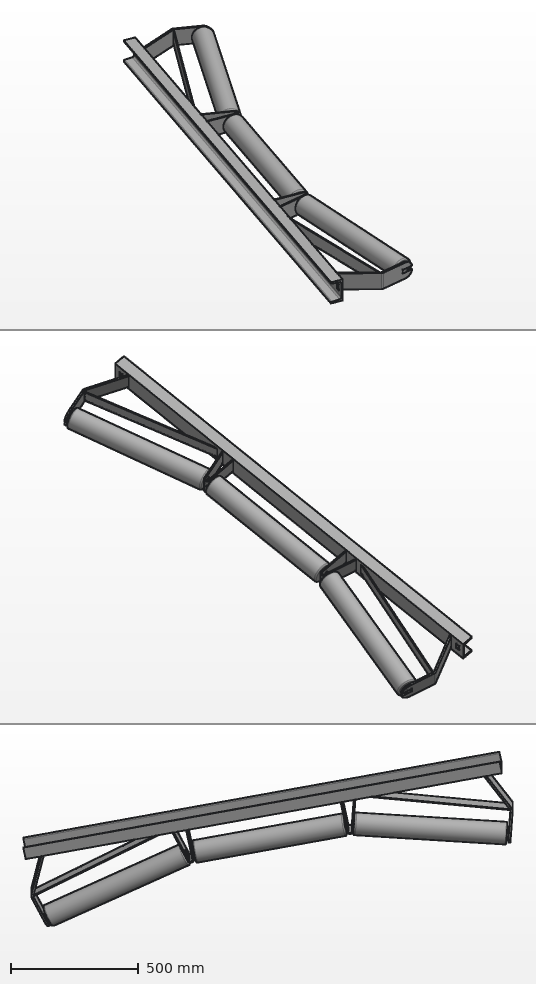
import cadquery as cq
import math


half_length = 960.0

beam_length = 1900.0
beam_height = 100.0
flange_width = 50.0
web_thickness = 5.0
toe_thickness = 8.0
toe_radius = 4.0
root_thickness = 10.5
root_radius = 8.0
web_hole_width = 17.0
web_hole_height = 29.0
web_hole_inset = 30.0

roller_length = 600.0
roller_diameter = 90.0
roller_edge_radius = 5.0
shaft_diameter = 25.0
shaft_flat_width = 17.0
center_axis_y = 117.0
wing_axis_x = 336.0
wing_axis_y = 121.0
wing_angle = 15

strip_width = 75.0
inner_thickness = 5.0
inner_bend_radius = 12.5
center_gap = 5.0
inner_wing_gap = 2.0
outer_thickness = 8.6
outer_wing_gap = 8.0
outer_bend_radius = 13.0
leg_angle = 24.5

brace_thickness = 4.8
brace_width = 58.0
brace_foot_x = 392.0

inner_face_x = roller_length / 2 + center_gap
outer_face = roller_length + outer_wing_gap + outer_thickness

wing_cos = math.cos(math.radians(wing_angle))
wing_sin = math.sin(math.radians(wing_angle))
wing_inner_end = cq.Vector(wing_axis_x, wing_axis_y)
wing_along = cq.Vector(wing_cos, wing_sin)
wing_across = cq.Vector(-wing_sin, wing_cos)

arm_normal = -wing_along
leg_normal = cq.Vector(-math.cos(math.radians(leg_angle)), math.sin(math.radians(leg_angle)))
bend_miter = (arm_normal + leg_normal) / (1 + arm_normal.dot(leg_normal))

bend_corner_x = half_length - outer_bend_radius * (1 + bend_miter.x)
arm_drop = (bend_corner_x - wing_axis_x - outer_face * wing_cos) / wing_sin
outer_corner = wing_inner_end + wing_along * outer_face - wing_across * arm_drop
inner_corner = outer_corner + bend_miter * outer_thickness


def place_on_wing(body):
    """Move a body from its own frame, with +X along the roller, to the +X wing."""
    return body.rotate((0, 0, 0), (0, 0, 1), wing_angle).translate(wing_inner_end)


def prism(points, width):
    """Extrude an XY outline to a width centered on Z = 0."""
    outline = [(point.x, point.y) for point in points]
    return cq.Workplane("XY").polyline(outline).close().extrude(width / 2, both=True)


def fillet_edge_at(body, point, radius):
    return body.edges(cq.NearestToPointSelector(point.toTuple())).fillet(radius)


def make_beam():
    half_height = beam_height / 2
    toe_z = half_height - toe_thickness
    root_z = half_height - root_thickness
    upper_flange = [
        (0, half_height),
        (-flange_width, half_height),
        (-flange_width, toe_z),
        (-web_thickness, root_z),
    ]
    lower_flange = [(y, -z) for y, z in reversed(upper_flange)]
    outline = cq.Workplane("YZ").polyline(upper_flange + lower_flange).close()
    beam = outline.extrude(beam_length / 2, both=True)
    for side in (1, -1):
        beam = fillet_edge_at(beam, cq.Vector(0, -flange_width, side * toe_z), toe_radius)
        beam = fillet_edge_at(beam, cq.Vector(0, -web_thickness, side * root_z), root_radius)
    hole_x = beam_length / 2 - web_hole_inset
    holes = (
        cq.Workplane("XZ")
        .pushPoints([(-hole_x, 0), (hole_x, 0)])
        .rect(web_hole_width, web_hole_height)
        .extrude(web_thickness)
    )
    return beam.cut(holes)


def make_roller(inner_shaft, outer_shaft):
    """Roller on the X axis from X = 0, with a flatted shaft end past each face."""
    drum = cq.Workplane("YZ").circle(roller_diameter / 2).extrude(roller_length)
    drum = drum.edges("%CIRCLE").fillet(roller_edge_radius)
    shaft_length = inner_shaft + roller_length + outer_shaft
    shaft = cq.Workplane("YZ").circle(shaft_diameter / 2).extrude(shaft_length)
    flats = cq.Workplane("YZ").rect(shaft_diameter, shaft_flat_width).extrude(shaft_length)
    return drum.union(shaft.intersect(flats).translate((-inner_shaft, 0, 0)))


def shaft_slot(start, thickness):
    """Cutter for an open-ended slot through a plate, around a shaft on the X axis."""
    slot = cq.Workplane("XY").box(thickness, strip_width, shaft_flat_width, centered=(False, False, True))
    return slot.translate((start, -shaft_diameter / 2, 0))


def make_inner_bracket():
    """Strip folded over at the top, between the center roller and the wing roller."""
    center_foot = cq.Vector(inner_face_x, 0)
    wing_foot = cq.Vector(wing_axis_x + (wing_axis_y * wing_sin - inner_wing_gap) / wing_cos, 0)
    apex = center_foot + cq.Vector(0, (wing_foot - center_foot).x * wing_cos / wing_sin)
    wedge = fillet_edge_at(prism([center_foot, wing_foot, apex], strip_width), apex, inner_bend_radius)
    bracket = wedge.faces("<Y or <Z or >Z").shell(-inner_thickness)
    center_slot = shaft_slot(inner_face_x, inner_thickness).translate((0, center_axis_y, 0))
    wing_slot = place_on_wing(shaft_slot(-inner_wing_gap - inner_thickness, inner_thickness))
    return bracket.cut(center_slot).cut(wing_slot)


def make_outer_bracket():
    """Sloping leg from the beam, bent into an arm with a round end about the shaft."""
    leg_run = cq.Vector(math.tan(math.radians(leg_angle)), 1)
    outer_foot = outer_corner - leg_run * outer_corner.y
    inner_foot = inner_corner - leg_run * inner_corner.y
    leg = prism([outer_foot, outer_corner, inner_corner, inner_foot], strip_width)
    half_width = strip_width / 2
    arm = (
        cq.Workplane("YZ")
        .moveTo(-arm_drop, -half_width)
        .lineTo(0, -half_width)
        .threePointArc((half_width, 0), (0, half_width))
        .lineTo(-arm_drop, half_width)
        .close()
        .extrude(outer_thickness)
        .translate((outer_face - outer_thickness, 0, 0))
    )
    bracket = leg.union(place_on_wing(arm))
    bracket = fillet_edge_at(bracket, outer_corner, outer_bend_radius)
    bracket = fillet_edge_at(bracket, inner_corner, outer_bend_radius - outer_thickness)
    return bracket.cut(place_on_wing(shaft_slot(outer_face - outer_thickness, outer_thickness)))


def make_brace(outer_bracket):
    """Flat strip from the beam up to the bend, trimmed to the inside of the outer bracket."""
    foot = cq.Vector(brace_foot_x, 0)
    along = (outer_corner - foot).normalized()
    top_offset = cq.Vector(-along.y, along.x) * brace_thickness
    foot_offset = cq.Vector(brace_thickness / along.y, 0)
    end = (outer_corner + inner_corner) / 2
    return prism([foot, foot + foot_offset, end, end + top_offset], brace_width).cut(outer_bracket)


beam = make_beam()

center_shaft_end = center_gap + inner_thickness
center_roller = make_roller(center_shaft_end, center_shaft_end)
center_roller = center_roller.translate((-roller_length / 2, center_axis_y, 0))

wing_roller = place_on_wing(make_roller(inner_wing_gap + inner_thickness, outer_wing_gap + outer_thickness))
inner_bracket = make_inner_bracket()
outer_bracket = make_outer_bracket()
brace = make_brace(outer_bracket)

bodies = [beam.val(), center_roller.val()]
for side_part in (wing_roller, inner_bracket, outer_bracket, brace):
    bodies += [side_part.val(), side_part.mirror("YZ").val()]

result = cq.Compound.makeCompound(bodies)